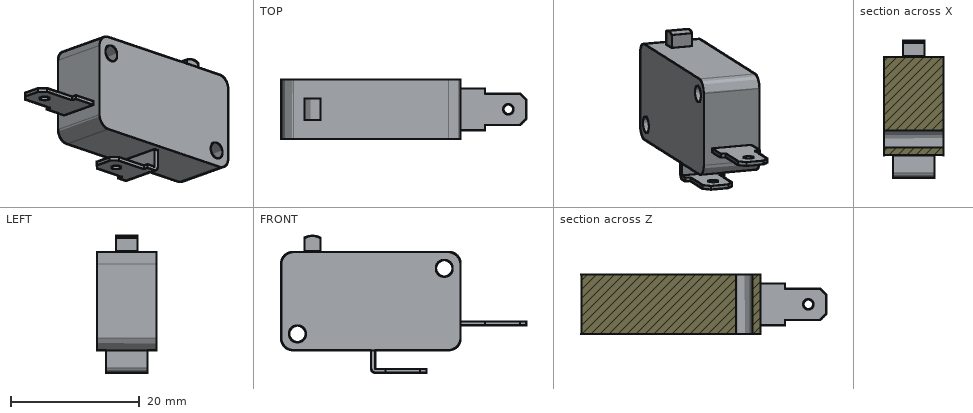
import cadquery as cq

CASE_LENGTH = 27.9
CASE_HEIGHT = 15.28
CASE_DEPTH = 9.25
CORNER_RADIUS = 1.9
MOUNT_HOLE_DIAMETER = 2.55
MOUNT_HOLE_INSET = 2.55

PLUNGER_LEFT = 3.62
PLUNGER_FRONT = 2.95
PLUNGER_WIDTH = 2.5
PLUNGER_DEPTH = 3.4
PLUNGER_GAP = 0.1
PLUNGER_HEIGHT = 2.4
PLUNGER_CROWN = 0.35

OVERALL_LENGTH = 38.1
TERMINAL_THICKNESS = 0.6
SHOULDER_WIDTH = 6.5
BLADE_WIDTH = 4.88
BLADE_LENGTH = 6.4
BLADE_CHAMFER = 1.0
BLADE_HOLE_DIAMETER = 1.52
BLADE_HOLE_TO_SHOULDER = 3.6

SIDE_TERMINAL_BOTTOM = 3.9
BENT_TERMINAL_LEFT = 13.95
BENT_TERMINAL_DROP = 3.5
BENT_SHOULDER_LENGTH = 2.25
BENT_LEG_THICKNESS = 0.7
BEND_OUTER_RADIUS = 0.75

TERMINAL_CENTER_Y = CASE_DEPTH / 2


def case_block():
    """Rounded case with a mounting hole through two opposite corners."""
    hole_points = [
        (MOUNT_HOLE_INSET, MOUNT_HOLE_INSET),
        (CASE_LENGTH - MOUNT_HOLE_INSET, CASE_HEIGHT - MOUNT_HOLE_INSET),
    ]
    block = (
        cq.Workplane("XY")
        .box(CASE_LENGTH, CASE_DEPTH, CASE_HEIGHT, centered=False)
        .edges("|Y")
        .fillet(CORNER_RADIUS)
    )
    holes = (
        cq.Workplane("XZ")
        .pushPoints(hole_points)
        .circle(MOUNT_HOLE_DIAMETER / 2)
        .extrude(-CASE_DEPTH)
    )
    return block.cut(holes)


def make_plunger():
    """Upright button with a crowned top."""
    right = PLUNGER_LEFT + PLUNGER_WIDTH
    middle = PLUNGER_LEFT + PLUNGER_WIDTH / 2
    bottom = CASE_HEIGHT + PLUNGER_GAP
    top = bottom + PLUNGER_HEIGHT
    shoulder = top - PLUNGER_CROWN
    return (
        cq.Workplane("XZ", origin=(0, PLUNGER_FRONT, 0))
        .moveTo(PLUNGER_LEFT, bottom)
        .lineTo(right, bottom)
        .lineTo(right, shoulder)
        .threePointArc((middle, top), (PLUNGER_LEFT, shoulder))
        .close()
        .extrude(-PLUNGER_DEPTH)
    )


def flat_terminal(left, bottom, shoulder_length):
    """Flat blade pointing along +X, starting at X = left and Z = bottom."""
    plane = cq.Workplane("XY", origin=(left, TERMINAL_CENTER_Y, bottom))
    shoulder = (
        plane.center(shoulder_length / 2, 0)
        .rect(shoulder_length, SHOULDER_WIDTH)
        .extrude(TERMINAL_THICKNESS)
    )
    blade = (
        plane.center(shoulder_length + BLADE_LENGTH / 2, 0)
        .rect(BLADE_LENGTH, BLADE_WIDTH)
        .extrude(TERMINAL_THICKNESS)
        .edges("|Z and >X")
        .chamfer(BLADE_CHAMFER)
    )
    hole = (
        plane.center(shoulder_length + BLADE_HOLE_TO_SHOULDER, 0)
        .circle(BLADE_HOLE_DIAMETER / 2)
        .extrude(TERMINAL_THICKNESS)
    )
    return shoulder.union(blade).cut(hole)


def side_terminal():
    """Straight blade leaving the +X side of the case."""
    shoulder_length = OVERALL_LENGTH - CASE_LENGTH - BLADE_LENGTH
    return flat_terminal(CASE_LENGTH, SIDE_TERMINAL_BOTTOM, shoulder_length)


def bent_terminal():
    """Blade hanging from the case bottom on a vertical leg and turned towards +X."""
    leg = cq.Workplane("XY").box(
        BENT_LEG_THICKNESS, SHOULDER_WIDTH, BENT_TERMINAL_DROP, centered=(False, True, False)
    )
    leg = leg.translate((BENT_TERMINAL_LEFT, TERMINAL_CENTER_Y, -BENT_TERMINAL_DROP))
    blade = flat_terminal(BENT_TERMINAL_LEFT, -BENT_TERMINAL_DROP, BENT_SHOULDER_LENGTH)
    return leg.union(blade).edges("|Y and <X and <Z").fillet(BEND_OUTER_RADIUS)


case = case_block().union(side_terminal()).union(bent_terminal())
plunger = make_plunger()

result = cq.Compound.makeCompound([case.val(), plunger.val()])